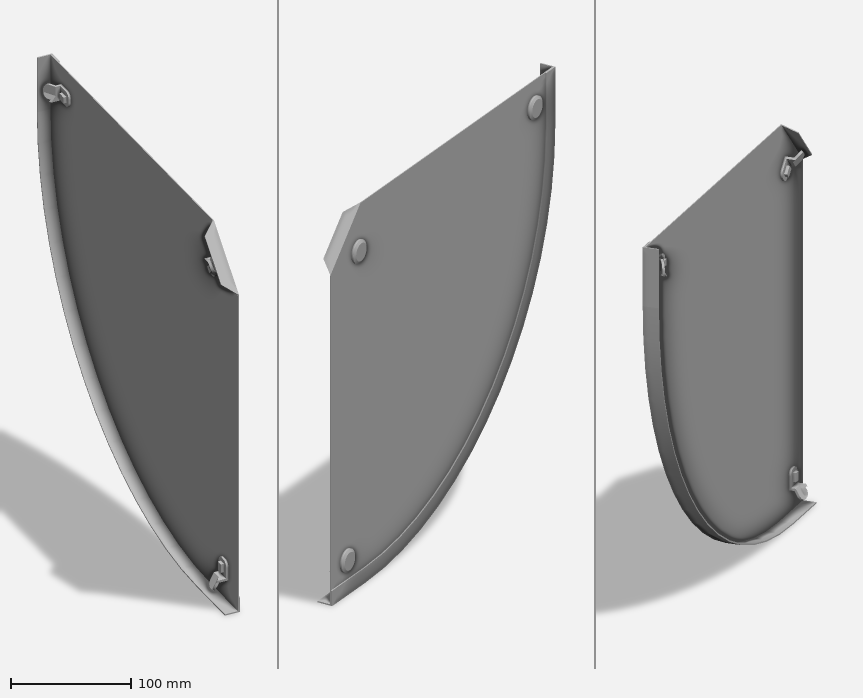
import cadquery as cq
import math


size = 354.0
diagonal = math.sqrt(0.5)

straight = 53.0
rim_sheet = 1.25
rim_base = 2.0
rim_depth = 14.0
flange_width = 14.0

panel_sheet = 0.9
corner_cut = 48.0
lip_depth = 12.5
panel_base = rim_base + rim_sheet
panel_front = panel_base + panel_sheet
panel_side = size - panel_sheet * diagonal

knob_radius = 10.5
bevel_width = 2.5
bevel_height = 1.5
shank_length = 8.0
shank_width = 5.5
shank_top = 9.2

cam_sheet = 2.0
cam_width = 14.0
base_reach = 7.8
base_round = 5.3
step_reach = 8.0
arm_height = 10.5
arm_length = 12.5
arm_round = 6.0
arm_slope = 30.0
fold_angle = 30.0
fold_place = 2.0
step_outer = step_reach + cam_sheet

side_inset = 25.5
end_inset = 32.0
corner_inset = 43.5
latch_places = [
    (end_inset, size - side_inset, 0.0),
    (size - side_inset, end_inset, 90.0),
    (size - corner_inset, size - corner_inset, 225.0),
]

reach_all = 35.5


def place(body, x, y, turn):
    """Turn a latch body about its shank axis and move it to its place."""
    return body.rotate((0, 0, 0), (0, 0, 1), turn).translate((x, y, 0))


def quarter_plate(inset, base, height):
    """Plate with a round lower left corner, set in from the outside of the rim."""
    centre = size - straight
    middle = centre - (centre - inset) * diagonal
    return (
        cq.Workplane("XY", origin=(0, 0, base))
        .moveTo(inset, panel_side)
        .lineTo(inset, centre)
        .threePointArc((middle, middle), (centre, inset))
        .lineTo(panel_side, inset)
        .lineTo(panel_side, panel_side)
        .close()
        .extrude(height)
    )


def make_rim():
    wall = quarter_plate(0, rim_base, rim_depth).cut(quarter_plate(rim_sheet, rim_base, rim_depth))
    flange = quarter_plate(0, rim_base, rim_sheet).cut(quarter_plate(flange_width, rim_base, rim_sheet))
    return wall.union(flange)


def make_lip():
    """Lip on the cut corner, its ends tapering at 45 degrees towards the free edge."""
    half_base = corner_cut * diagonal
    half_top = half_base - lip_depth
    cut_middle = panel_side - corner_cut / 2
    lip_plane = cq.Plane(
        origin=(cut_middle, cut_middle, panel_base),
        xDir=(-1, 1, 0),
        normal=(1, 1, 0),
    )
    return (
        cq.Workplane(lip_plane)
        .polyline([(-half_base, 0), (half_base, 0), (half_top, lip_depth), (-half_top, lip_depth)])
        .close()
        .extrude(panel_sheet)
    )


def make_panel():
    corner = (
        cq.Workplane("XY", origin=(0, 0, panel_base))
        .moveTo(panel_side, panel_side)
        .lineTo(panel_side - corner_cut, panel_side)
        .lineTo(panel_side, panel_side - corner_cut)
        .close()
        .extrude(panel_sheet)
    )
    panel = quarter_plate(rim_sheet, panel_base, panel_sheet).cut(corner).union(make_lip())
    for x, y, turn in latch_places:
        panel = panel.cut(place(make_shank(), x, y, turn))
    return panel


def make_shank():
    return cq.Workplane("XY").rect(shank_length, shank_width).extrude(shank_top)


def make_knob():
    disc = cq.Workplane("XY").circle(knob_radius).extrude(panel_base)
    disc = disc.faces("<Z").chamfer(bevel_height, bevel_width)
    return disc.union(make_shank())


def cam_blank(start, end, corner_radius, base):
    """Flat strip of cam sheet along x, with rounded corners at its far end."""
    return (
        cq.Workplane("XY", origin=(0, 0, base))
        .box(end - start, cam_width, cam_sheet, centered=(False, True, False))
        .translate((start, 0, 0))
        .edges("|Z and >X")
        .fillet(corner_radius)
    )


def fold_up(body):
    """Turn a body about the fold line, which lies in the back face of the arm."""
    return body.rotate((0, fold_place, -cam_sheet), (1, fold_place, -cam_sheet), fold_angle)


def tilt_arm(body):
    """Move a body from the flat arm, with its front face at height 0, to the sloping arm."""
    slope = math.radians(arm_slope)
    arm_plane = cq.Plane(
        origin=(-step_reach, 0, arm_height),
        xDir=(-math.cos(slope), 0, math.sin(slope)),
        normal=(math.sin(slope), 0, math.cos(slope)),
    )
    return cq.Workplane(body.val().moved(arm_plane.location))


def make_arm():
    """Sloping arm with its folded side strip, ending at the inner face of the step."""
    blank = cam_blank(-2 * cam_sheet, arm_length, arm_round, -cam_sheet)
    side = (
        cq.Workplane("XY", origin=(0, fold_place, 0))
        .box(2 * reach_all, reach_all, reach_all, centered=(True, False, True))
    )
    arm = tilt_arm(blank.cut(side).union(fold_up(blank.intersect(side))))
    behind_step = (
        cq.Workplane("XY", origin=(-step_reach, 0, 0))
        .box(reach_all, reach_all, 2 * reach_all, centered=(False, True, True))
    )
    return arm.cut(behind_step)


def make_step():
    """Upright wall from the cam base to the arm, cut off level with the front of the arm."""
    wall = (
        cq.Workplane("XY", origin=(-step_outer, 0, panel_front))
        .box(cam_sheet, cam_width, reach_all, centered=(False, True, False))
    )
    under_flat = (
        cq.Workplane("XY", origin=(0, 0, -reach_all))
        .box(2 * reach_all, 2 * reach_all, reach_all, centered=(True, True, False))
    )
    under_arm = under_flat.union(fold_up(under_flat))
    return wall.intersect(tilt_arm(under_arm))


def make_cam():
    base = cam_blank(-step_outer, base_reach, base_round, panel_front)
    return base.union(make_step()).union(make_arm()).cut(make_shank())


def stand_up(body):
    """Turn a body from lying flat to upright, its open side towards -Y."""
    return body.rotate((0, 0, 0), (1, 0, 0), 90)


panel = stand_up(make_panel())
rim = stand_up(make_rim())
knobs = [stand_up(place(make_knob(), x, y, turn)) for x, y, turn in latch_places]
cams = [stand_up(place(make_cam(), x, y, turn)) for x, y, turn in latch_places]

result = cq.Compound.makeCompound(
    [panel.val(), rim.val()] + [knob.val() for knob in knobs] + [cam.val() for cam in cams]
)